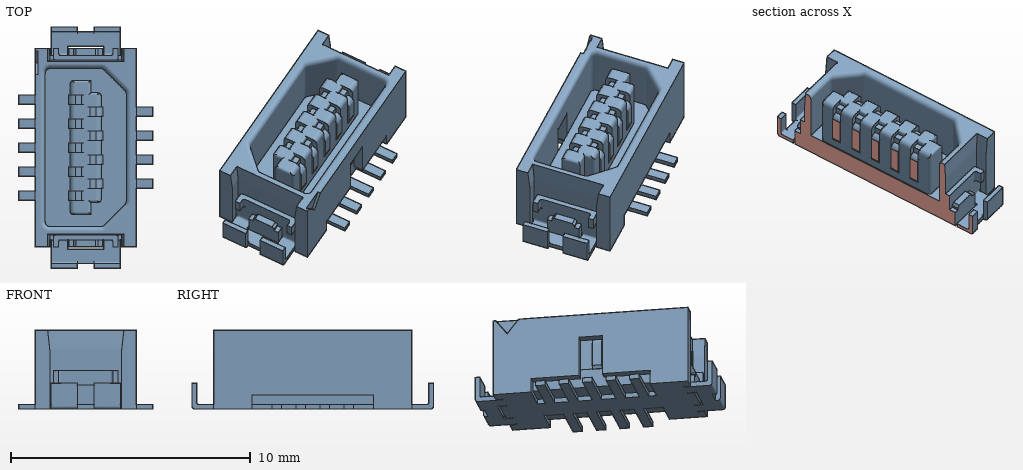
import cadquery as cq
import math

HOUSING_X = 4.22
HOUSING_Y = 8.28
HEIGHT = 3.3
HALF_X = HOUSING_X / 2
HALF_Y = HOUSING_Y / 2

CAVITY_HALF_X = 1.69
CAVITY_HALF_Y = 3.3
CAVITY_FLOOR_Z = 1.0
CAVITY_CUT_LEG = 0.98
CAVITY_CORNER_R = 0.2
CAVITY_RIM_R = 0.2

RECESS_HALF_X = 1.5
RECESS_WALL_Y = 3.65
RECESS_FLARE_Z = 2.48
RECESS_TOP_HALF_X = 1.59
RECESS_TOP_WALL_Y = 3.6

TONGUE_TOP_Z = 3.25
TONGUE_HALF_X = 0.65
TONGUE_LONG_HALF_Y = 2.8
TONGUE_SHORT_HALF_Y = 2.29
TONGUE_STEP_X = 0.21
TONGUE_SIDE_R = 0.21
TONGUE_END_R = 0.1
TONGUE_CORNER_R = 0.15

PITCH = 1.0
LEFT_COUNT = 5
RIGHT_COUNT = 4
CONTACT_WIDTH = 0.4
CONTACT_FACE_X = 0.72
CONTACT_TOP_Z = 3.07
CONTACT_SHANK_X = 0.43
SLOT_WALL_X = 0.1
SLOT_LIP_R = 0.075
SHOULDER_Z = 2.78
CONTACT_BEND_Z = 1.54
CONTACT_BEND_END_Z = 1.39
LEAD_TIP_X = 2.8
SHEET = 0.2

NOTCH_HALF_Y = 2.53
NOTCH_TOP_Z = 0.6
RIB_HALF_X = 0.7
WINDOW_HALF_Y = 0.5
WINDOW_TOP_Z = 2.3

MARK_Y = 3.54
MARK_HALF_Y = 0.49
MARK_HEIGHT = 0.61
MARK_DEPTH = 0.12

CLIP_END_Y = 5.04
CLIP_HALF_X = 1.445
CLIP_FACE_Y = RECESS_WALL_Y + SHEET
CLIP_INNER_BEND_R = 0.08
CLIP_OUTER_BEND_R = 0.12
TAB_TOP_Z = 1.09
TAB_GAP_HALF_X = 0.345
EAR_HALF_X = 1.355
EAR_BOTTOM_Z = 1.07
EAR_TOP_Z = 1.61
EAR_THICKNESS = 0.22
EAR_BEND_R = 0.1
CLIP_SLOT_HALF_X = 0.745
CLIP_SLOT_END_Y = 4.23

BOSS_HALF_X = 0.71
BOSS_SHOULDER_Z = 0.8
BOSS_TOP_HALF_X = 0.51
BOSS_TOP_Z = 1.0
BOSS_CHAMFER = 0.1


def box(x0, x1, y0, y1, z0, z1):
    return cq.Workplane("XY").box(x1 - x0, y1 - y0, z1 - z0, centered=False).translate((x0, y0, z0))


def centred_ys(count):
    return [(i - (count - 1) / 2) * PITCH for i in range(count)]


def both_ends(solid):
    return solid.union(solid.mirror("XZ"))


def make_cavity():
    outline = [
        (-CAVITY_HALF_X, -CAVITY_HALF_Y),
        (CAVITY_HALF_X - CAVITY_CUT_LEG, -CAVITY_HALF_Y),
        (CAVITY_HALF_X, -CAVITY_HALF_Y + CAVITY_CUT_LEG),
        (CAVITY_HALF_X, CAVITY_HALF_Y - CAVITY_CUT_LEG),
        (CAVITY_HALF_X - CAVITY_CUT_LEG, CAVITY_HALF_Y),
        (-CAVITY_HALF_X, CAVITY_HALF_Y),
    ]
    prism = cq.Workplane("XY").workplane(offset=CAVITY_FLOOR_Z).polyline(outline).close()
    return prism.extrude(HEIGHT - CAVITY_FLOOR_Z).edges("|Z").fillet(CAVITY_CORNER_R)


def make_end_recess():
    lower = box(-RECESS_HALF_X, RECESS_HALF_X, RECESS_WALL_Y, CLIP_END_Y, 0, RECESS_FLARE_Z)
    flare = (
        cq.Workplane("XY", origin=(0, 0, RECESS_FLARE_Z))
        .moveTo(0, (RECESS_WALL_Y + CLIP_END_Y) / 2)
        .rect(2 * RECESS_HALF_X, CLIP_END_Y - RECESS_WALL_Y)
        .workplane(offset=HEIGHT - RECESS_FLARE_Z)
        .moveTo(0, (RECESS_TOP_WALL_Y + CLIP_END_Y) / 2)
        .rect(2 * RECESS_TOP_HALF_X, CLIP_END_Y - RECESS_TOP_WALL_Y)
        .loft(ruled=True)
    )
    return lower.union(flare)


def make_pin_one_mark():
    triangle = [
        (MARK_Y - MARK_HALF_Y, HEIGHT),
        (MARK_Y + MARK_HALF_Y, HEIGHT),
        (MARK_Y, HEIGHT - MARK_HEIGHT),
    ]
    return cq.Workplane("YZ", origin=(-HALF_X, 0, 0)).polyline(triangle).close().extrude(MARK_DEPTH)


def make_housing():
    body = box(-HALF_X, HALF_X, -HALF_Y, HALF_Y, 0, HEIGHT).cut(make_cavity())
    margin = (HALF_X - CAVITY_HALF_X) / 2
    rim_box = cq.selectors.BoxSelector(
        (-HALF_X + margin, -HALF_Y + margin, HEIGHT - margin),
        (HALF_X - margin, HALF_Y - margin, HEIGHT + margin),
    )
    body = body.edges(rim_box).fillet(CAVITY_RIM_R)
    body = body.cut(both_ends(make_end_recess()))

    for x0, x1 in ((-HALF_X, -CAVITY_HALF_X), (CAVITY_HALF_X, HALF_X)):
        body = body.cut(box(x0, x1, -NOTCH_HALF_Y, NOTCH_HALF_Y, 0, NOTCH_TOP_Z))
    for x0, x1 in ((-HALF_X, -RIB_HALF_X), (RIB_HALF_X, HALF_X)):
        body = body.cut(box(x0, x1, -NOTCH_HALF_Y, NOTCH_HALF_Y, 0, SHEET))

    body = body.cut(
        box(-HALF_X, -CAVITY_HALF_X, -WINDOW_HALF_Y, WINDOW_HALF_Y, 0, WINDOW_TOP_Z)
    )
    return body.cut(make_pin_one_mark())


def make_tongue():
    outline = [
        (-TONGUE_HALF_X, -TONGUE_LONG_HALF_Y),
        (TONGUE_STEP_X, -TONGUE_LONG_HALF_Y),
        (TONGUE_STEP_X, -TONGUE_SHORT_HALF_Y),
        (TONGUE_HALF_X, -TONGUE_SHORT_HALF_Y),
        (TONGUE_HALF_X, TONGUE_SHORT_HALF_Y),
        (TONGUE_STEP_X, TONGUE_SHORT_HALF_Y),
        (TONGUE_STEP_X, TONGUE_LONG_HALF_Y),
        (-TONGUE_HALF_X, TONGUE_LONG_HALF_Y),
    ]
    base_z = CAVITY_FLOOR_Z - SHEET
    tongue = cq.Workplane("XY").workplane(offset=base_z).polyline(outline).close()
    tongue = tongue.extrude(TONGUE_TOP_Z - base_z)
    tongue = tongue.edges("|Z and (<X or >X)").fillet(TONGUE_CORNER_R)
    tongue = tongue.faces(">Z").edges().fillet(TONGUE_END_R)

    rounded_bar = box(
        -TONGUE_HALF_X, TONGUE_HALF_X, -TONGUE_LONG_HALF_Y, TONGUE_LONG_HALF_Y, base_z, TONGUE_TOP_Z
    )
    rounded_bar = rounded_bar.edges("|Y and >Z").fillet(TONGUE_SIDE_R)
    return tongue.intersect(rounded_bar)


def make_contact():
    lip_end = (SLOT_WALL_X + SLOT_LIP_R, TONGUE_TOP_Z - SLOT_LIP_R)
    lip_mid = (
        SLOT_WALL_X + SLOT_LIP_R * math.sin(math.pi / 4),
        lip_end[1] + SLOT_LIP_R * math.cos(math.pi / 4),
    )
    shoulder_r = CONTACT_FACE_X - CONTACT_SHANK_X
    shoulder_end = (CONTACT_FACE_X, SHOULDER_Z - shoulder_r)
    shoulder_mid = (
        CONTACT_SHANK_X + shoulder_r * math.sin(math.pi / 4),
        shoulder_end[1] + shoulder_r * math.cos(math.pi / 4),
    )
    return (
        cq.Workplane("XZ", origin=(0, CONTACT_WIDTH / 2, 0))
        .moveTo(SLOT_WALL_X, CONTACT_BEND_END_Z)
        .lineTo(SLOT_WALL_X, TONGUE_TOP_Z)
        .threePointArc(lip_mid, lip_end)
        .lineTo(lip_end[0], CONTACT_TOP_Z)
        .lineTo(CONTACT_SHANK_X, CONTACT_TOP_Z)
        .lineTo(CONTACT_SHANK_X, SHOULDER_Z)
        .threePointArc(shoulder_mid, shoulder_end)
        .lineTo(CONTACT_FACE_X, CONTACT_BEND_Z)
        .lineTo(TONGUE_HALF_X, CONTACT_BEND_END_Z)
        .close()
        .extrude(CONTACT_WIDTH)
    )


def make_boss():
    right_side = [
        (BOSS_HALF_X, 0),
        (BOSS_HALF_X, BOSS_SHOULDER_Z),
        (BOSS_TOP_HALF_X, BOSS_SHOULDER_Z),
        (BOSS_TOP_HALF_X, BOSS_TOP_Z - BOSS_CHAMFER),
        (BOSS_TOP_HALF_X - BOSS_CHAMFER, BOSS_TOP_Z),
    ]
    left_side = [(-x, z) for x, z in reversed(right_side)]
    outline = cq.Workplane("XZ", origin=(0, HALF_Y, 0)).polyline(right_side + left_side).close()
    return outline.extrude(HALF_Y - RECESS_WALL_Y)


def make_clip():
    foot = (
        cq.Workplane("YZ", origin=(-CLIP_HALF_X, 0, 0))
        .moveTo(RECESS_WALL_Y, 0)
        .lineTo(CLIP_END_Y, 0)
        .lineTo(CLIP_END_Y, TAB_TOP_Z)
        .lineTo(CLIP_END_Y - SHEET, TAB_TOP_Z)
        .lineTo(CLIP_END_Y - SHEET, SHEET)
        .lineTo(CLIP_FACE_Y, SHEET)
        .lineTo(CLIP_FACE_Y, EAR_BOTTOM_Z)
        .lineTo(RECESS_WALL_Y, EAR_BOTTOM_Z)
        .close()
        .extrude(2 * CLIP_HALF_X)
    )
    inner_bends = cq.selectors.BoxSelector(
        (-CLIP_HALF_X, CLIP_FACE_Y - SHEET / 2, SHEET / 2),
        (CLIP_HALF_X, CLIP_END_Y - SHEET / 2, SHEET * 2),
    )
    foot = foot.edges(inner_bends).edges("|X").fillet(CLIP_INNER_BEND_R)
    foot = foot.edges("|X and >Y and <Z").fillet(CLIP_OUTER_BEND_R)

    foot = foot.cut(
        box(-TAB_GAP_HALF_X, TAB_GAP_HALF_X, CLIP_END_Y - SHEET, CLIP_END_Y, 0, TAB_TOP_Z)
    )
    foot = foot.cut(
        box(-TAB_GAP_HALF_X, TAB_GAP_HALF_X, CLIP_FACE_Y, CLIP_END_Y, SHEET, TAB_TOP_Z)
    )
    foot = foot.cut(
        box(-CLIP_SLOT_HALF_X, CLIP_SLOT_HALF_X, CLIP_FACE_Y, CLIP_SLOT_END_Y, 0, TAB_TOP_Z)
    )

    upright = box(-RECESS_HALF_X, RECESS_HALF_X, RECESS_WALL_Y, CLIP_FACE_Y, 0, EAR_BOTTOM_Z)

    band = box(-EAR_HALF_X, EAR_HALF_X, RECESS_WALL_Y, HALF_Y, EAR_BOTTOM_Z, EAR_TOP_Z)
    inner_half_x = EAR_HALF_X - EAR_THICKNESS
    between_ears = box(-inner_half_x, inner_half_x, CLIP_FACE_Y, CLIP_END_Y, EAR_BOTTOM_Z, EAR_TOP_Z)
    band = band.edges("|Z and <Y").fillet(EAR_BEND_R)
    band = band.cut(between_ears.edges("|Z and <Y").fillet(EAR_BEND_R))
    return foot.union(upright).union(band)


def make_connector():
    tongue = make_tongue()
    contact = make_contact()
    half = CONTACT_WIDTH / 2
    slot = box(SLOT_WALL_X, LEAD_TIP_X, -half, half, CONTACT_BEND_END_Z, HEIGHT)
    lead = box(RIB_HALF_X, LEAD_TIP_X, -half, half, 0, SHEET)

    right_places = [(y, False) for y in centred_ys(RIGHT_COUNT)]
    left_places = [(y, True) for y in centred_ys(LEFT_COUNT)]
    metal = []
    for y, on_left in right_places + left_places:
        pieces = [piece.translate((0, y, 0)) for piece in (slot, contact, lead)]
        if on_left:
            pieces = [piece.mirror("YZ") for piece in pieces]
        tongue = tongue.cut(pieces[0])
        metal += pieces[1:]

    part = make_housing().union(tongue)
    for piece in metal:
        part = part.union(piece)
    return part.union(both_ends(make_boss())).union(both_ends(make_clip()))


result = make_connector()